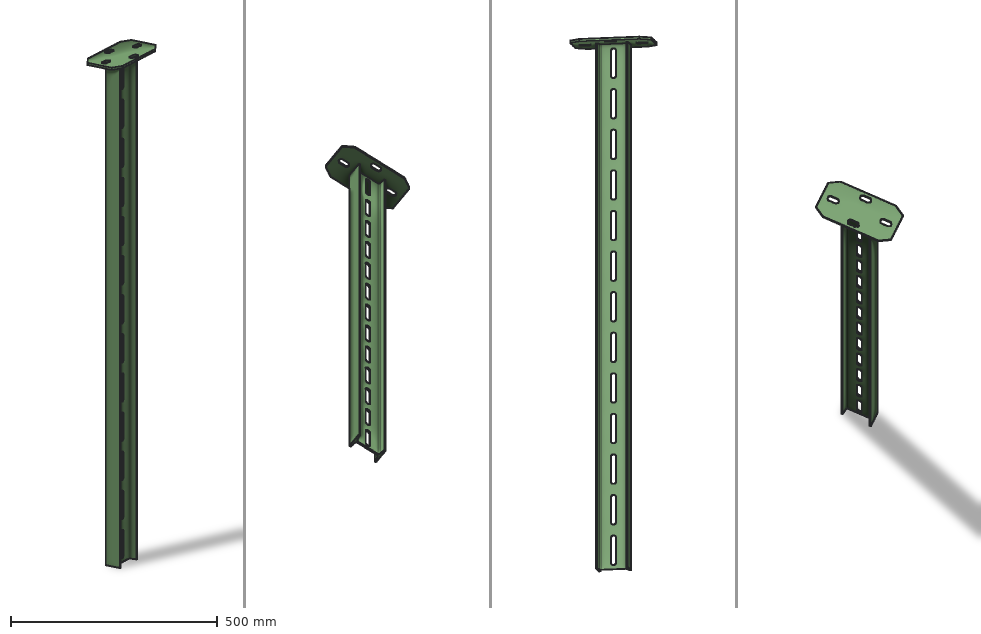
import cadquery as cq

TOTAL_HEIGHT = 1302.0
UPRIGHT = 90

PLATE_WIDTH = 100.0
PLATE_LENGTH = 200.0
PLATE_THICKNESS = 6.0
CORNER_CUT_X = 15.0
CORNER_CUT_Y = 26.0
PLATE_SLOT_WIDTH = 13.0
PLATE_SLOT_LENGTH = 29.0
PLATE_SLOT_OFFSET_X = 35.0
PLATE_SLOT_OFFSET_Y = 70.0

POST_LENGTH = TOTAL_HEIGHT - PLATE_THICKNESS
FLANGE_WIDTH = 40.0
SECTION_DEPTH = 80.0
WEB_THICKNESS = 4.0
FLANGE_THICKNESS = 5.5
FLANGE_TAPER = 0.14
ROOT_RADIUS = 4.0

WEB_SLOT_COUNT = 13
WEB_SLOT_PITCH = TOTAL_HEIGHT / WEB_SLOT_COUNT
WEB_SLOT_WIDTH = 13.0
WEB_SLOT_LENGTH = 73.0
LOWEST_SLOT_CENTER = 47.0


def make_head_plate():
    """Flat plate with cut corners and four slots along Y, resting on the post."""
    half_x = PLATE_WIDTH / 2
    half_y = PLATE_LENGTH / 2
    flat_x = half_x - CORNER_CUT_X
    flat_y = half_y - CORNER_CUT_Y
    outline = [
        (half_x, -flat_y), (half_x, flat_y), (flat_x, half_y), (-flat_x, half_y),
        (-half_x, flat_y), (-half_x, -flat_y), (-flat_x, -half_y), (flat_x, -half_y),
    ]
    slot_centers = [
        (PLATE_SLOT_OFFSET_X, 0), (-PLATE_SLOT_OFFSET_X, 0),
        (0, PLATE_SLOT_OFFSET_Y), (0, -PLATE_SLOT_OFFSET_Y),
    ]
    post_top = cq.Workplane("XY", origin=(0, 0, POST_LENGTH))
    plate = post_top.polyline(outline).close().extrude(PLATE_THICKNESS)
    slots = (
        post_top.pushPoints(slot_centers)
        .slot2D(PLATE_SLOT_LENGTH, PLATE_SLOT_WIDTH, UPRIGHT)
        .extrude(PLATE_THICKNESS)
    )
    return plate.cut(slots)


def make_i_section():
    """I-section extruded along Z, with rounded roots between web and flanges."""
    half_x = FLANGE_WIDTH / 2
    half_y = SECTION_DEPTH / 2
    half_web = WEB_THICKNESS / 2
    tip_y = half_y - FLANGE_THICKNESS + FLANGE_TAPER * FLANGE_WIDTH / 4
    root_y = tip_y - FLANGE_TAPER * (half_x - half_web)
    right_side = [
        (half_x, -half_y), (half_x, -tip_y), (half_web, -root_y),
        (half_web, root_y), (half_x, tip_y), (half_x, half_y),
    ]
    left_side = [(-x, -y) for x, y in right_side]
    section = cq.Workplane("XY").polyline(right_side + left_side).close().extrude(POST_LENGTH)

    root_edges = cq.selectors.BoxSelector(
        (-WEB_THICKNESS, -half_y, 0), (WEB_THICKNESS, half_y, POST_LENGTH)
    )
    return section.edges("|Z").edges(root_edges).fillet(ROOT_RADIUS)


def make_post():
    """I-section post with a row of upright slots through its web."""
    slot_centers = [(0, LOWEST_SLOT_CENTER + i * WEB_SLOT_PITCH) for i in range(WEB_SLOT_COUNT)]
    slots = (
        cq.Workplane("YZ")
        .pushPoints(slot_centers)
        .slot2D(WEB_SLOT_LENGTH, WEB_SLOT_WIDTH, UPRIGHT)
        .extrude(WEB_THICKNESS, both=True)
    )
    return make_i_section().cut(slots)


head_plate = make_head_plate()
post = make_post()

result = cq.Compound.makeCompound([head_plate.val(), post.val()])